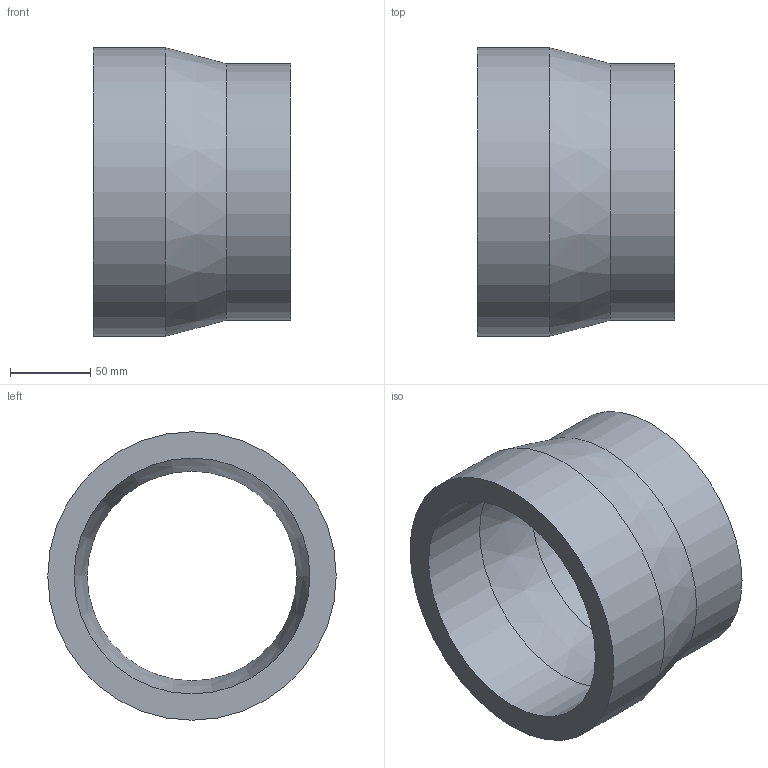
import cadquery as cq

wide_outer_diameter = 180.0
wide_bore_diameter = 147.2
narrow_outer_diameter = 160.0
narrow_bore_diameter = 130.8

wide_length = 45.0
taper_length = 38.0
narrow_length = 40.0

taper_start = wide_length
taper_end = taper_start + taper_length
total_length = taper_end + narrow_length


def stepped_round(wide_diameter, narrow_diameter):
    """Solid of revolution about X: wide cylinder, cone, narrow cylinder."""
    wide_radius = wide_diameter / 2
    narrow_radius = narrow_diameter / 2
    half_profile = (
        cq.Workplane("XY")
        .lineTo(0, wide_radius)
        .lineTo(taper_start, wide_radius)
        .lineTo(taper_end, narrow_radius)
        .lineTo(total_length, narrow_radius)
        .lineTo(total_length, 0)
        .close()
    )
    return half_profile.revolve(360, (0, 0, 0), (1, 0, 0))


body = stepped_round(wide_outer_diameter, narrow_outer_diameter)
bore = stepped_round(wide_bore_diameter, narrow_bore_diameter)

result = body.cut(bore)